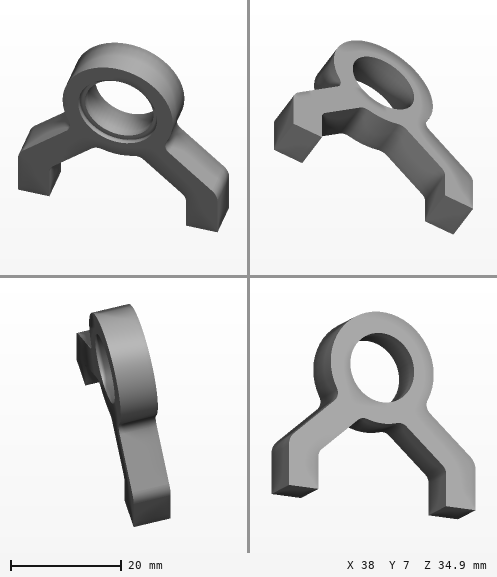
import cadquery as cq
import math

span = 38.0
thickness = 7.0
height = 34.92

ring_radius = 10.5
bore_diameter = 13.0
seat_diameter = 15.0
seat_depth = 1.0
ring_center_z = height - ring_radius

foot_width = 6.0
outer_bend_z = 9.0
inner_bend_z = 7.0
arm_angle = 41.0

outer_bend_radius = 3.0
inner_bend_radius = 4.0 / 2
ring_joint_radius = inner_bend_radius
match_tolerance = 0.005

outer_x = span / 2
inner_x = outer_x - foot_width
arm_slope = math.tan(math.radians(arm_angle))


def front_plane():
    """Plane of the front face, centred on X, with local Y along Z."""
    return cq.Workplane("XZ", origin=(0, -thickness / 2, 0))


def bend_edges(body, x, z):
    """The left and right through-thickness edges at the given bend."""
    left = cq.selectors.NearestToPointSelector((-x, 0, z))
    right = cq.selectors.NearestToPointSelector((x, 0, z))
    return body.edges("|Y").edges(left + right)


def make_legs():
    """Inverted V whose arms meet inside the ring, with rounded bends."""
    outer_apex_z = outer_bend_z + outer_x * arm_slope
    inner_apex_z = inner_bend_z + inner_x * arm_slope
    outline = [
        (-outer_x, 0),
        (-outer_x, outer_bend_z),
        (0, outer_apex_z),
        (outer_x, outer_bend_z),
        (outer_x, 0),
        (inner_x, 0),
        (inner_x, inner_bend_z),
        (0, inner_apex_z),
        (-inner_x, inner_bend_z),
        (-inner_x, 0),
    ]
    legs = front_plane().polyline(outline).close().extrude(-thickness)
    legs = bend_edges(legs, outer_x, outer_bend_z).fillet(outer_bend_radius)
    return bend_edges(legs, inner_x, inner_bend_z).fillet(inner_bend_radius)


def make_disc(diameter, depth):
    """Disc on the ring axis, reaching back from the front face."""
    return front_plane().center(0, ring_center_z).circle(diameter / 2).extrude(-depth)


def on_ring_joint(edge):
    """True for the edges where an arm side runs into the ring."""
    center = edge.Center()
    drop = ring_center_z - center.z
    on_rim = math.isclose(math.hypot(center.x, drop), ring_radius, abs_tol=match_tolerance)
    below_axis = drop > match_tolerance
    return on_rim and below_axis


body = make_legs().union(make_disc(2 * ring_radius, thickness))
body = body.edges("|Y").filter(on_ring_joint).fillet(ring_joint_radius)

body = body.cut(make_disc(bore_diameter, thickness))
result = body.cut(make_disc(seat_diameter, seat_depth))